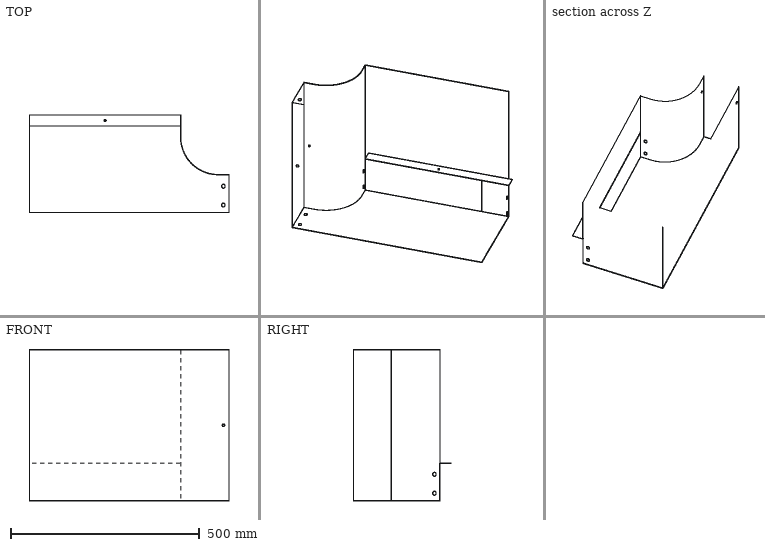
import cadquery as cq

sheet = 1.0
mouth_width = 400.0
mouth_depth = 100.0
lip_length = 29.0
bend_radius = 100.0
back_y = 230.0

screw_diameter = 5.0
clearance_diameter = 7.0
screw_inset = 15.0

slot_width = 8.0
slot_length = 10.0
slot_inset = 15.3
slot_offsets = (20.0, 70.0)
slot_angle = 90.0

height = mouth_width
bend_end_x = mouth_width + bend_radius
bend_end_y = mouth_depth + bend_radius
length = bend_end_x + lip_length
inner_back_y = back_y - sheet
depth = back_y + lip_length
inner_wall_outer_x = mouth_width + sheet
inner_wall_outer_y = mouth_depth + sheet


def box(x_range, y_range, z_range):
    """Box spanning the given (low, high) ranges."""
    x0, x1 = x_range
    y0, y1 = y_range
    z0, z1 = z_range
    return cq.Workplane("XY").box(x1 - x0, y1 - y0, z1 - z0, centered=False).translate((x0, y0, z0))


def end_plate(base_z):
    """L-shaped top or bottom plate with a concave quarter-round corner."""
    return (
        cq.Workplane("XY", origin=(0, 0, base_z))
        .moveTo(sheet, sheet)
        .lineTo(length, sheet)
        .lineTo(length, mouth_depth)
        .lineTo(bend_end_x, mouth_depth)
        .radiusArc((mouth_width, bend_end_y), bend_radius)
        .lineTo(mouth_width, inner_back_y)
        .lineTo(sheet, inner_back_y)
        .close()
        .extrude(sheet)
    )


def inner_wall():
    """Curved wall around the notch; its straight +X end is the cover lip of the +X mouth."""
    return (
        cq.Workplane("XY")
        .moveTo(length, mouth_depth)
        .lineTo(bend_end_x, mouth_depth)
        .radiusArc((mouth_width, bend_end_y), bend_radius)
        .lineTo(mouth_width, inner_back_y)
        .lineTo(inner_wall_outer_x, inner_back_y)
        .lineTo(inner_wall_outer_x, bend_end_y)
        .radiusArc((bend_end_x, inner_wall_outer_y), -(bend_radius - sheet))
        .lineTo(length, inner_wall_outer_y)
        .close()
        .extrude(height)
    )


def back_wall():
    """Wall above the +Y mouth, with the cover lip along its lower edge."""
    x_range = (0, inner_wall_outer_x)
    lip_z = mouth_depth - sheet
    panel = box(x_range, (inner_back_y, back_y), (lip_z, height))
    lip = box(x_range, (inner_back_y, depth), (lip_z, mouth_depth))
    return panel.union(lip)


def shell():
    front = box((sheet, length), (0, sheet), (0, height))
    side = box((0, sheet), (0, inner_back_y), (0, height))
    body = front.union(side).union(back_wall()).union(inner_wall())
    return body.union(end_plate(0)).union(end_plate(height - sheet))


def slot_cutter(plane, points, reach):
    """Slots that stand upright in the given plane, cut through both opposite walls."""
    return cq.Workplane(plane).pushPoints(points).slot2D(slot_length, slot_width, slot_angle).extrude(reach)


def joint_slots():
    side_points = [(back_y - slot_inset, z) for z in slot_offsets]
    end_points = [(length - slot_inset, y) for y in slot_offsets]
    side_slots = slot_cutter("YZ", side_points, inner_wall_outer_x)
    return side_slots.union(slot_cutter("XY", end_points, height))


def round_cutter(plane, center, start, end, diameter):
    """Round hole from start to end along the plane's normal axis."""
    span = end - start
    return cq.Workplane(plane).workplane(offset=start).center(*center).circle(diameter / 2).extrude(span)


def screw_holes():
    """Clearance hole in the front wall facing the +X lip hole, and a hole in the +Y lip."""
    x_mouth_center = (length - screw_inset, height / 2)
    y_mouth_center = (inner_wall_outer_x / 2, depth - screw_inset)
    clearance_hole = round_cutter("XZ", x_mouth_center, 0, -sheet, clearance_diameter)
    x_lip_hole = round_cutter("XZ", x_mouth_center, -mouth_depth, -inner_wall_outer_y, screw_diameter)
    y_lip_hole = round_cutter("XY", y_mouth_center, mouth_depth - sheet, mouth_depth, screw_diameter)
    return clearance_hole.union(x_lip_hole).union(y_lip_hole)


result = shell().cut(joint_slots()).cut(screw_holes())